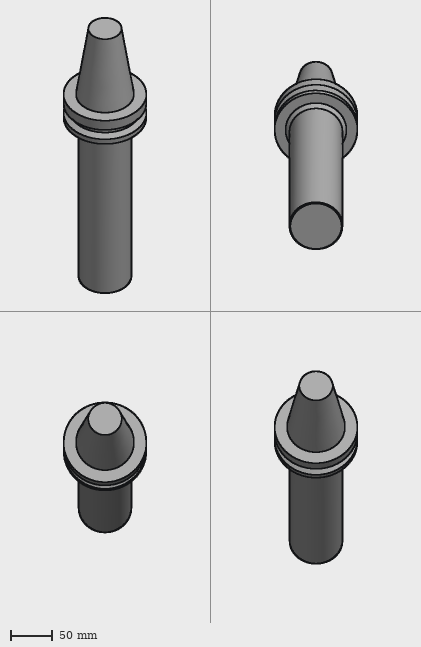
import cadquery as cq
import math

total_length = 390.8
flange_diameter = 100.0
gauge_diameter = 70.0
groove_diameter = 85.0
body_diameter = 64.0
neck_diameter = 73.5

taper_length = 102.0
taper_ratio = 7 / 24
gauge_band_height = 1.0
upper_rim_height = 14.5
groove_floor_height = 6.3
groove_wall_angle = 30
lower_rim_height = 7.5
neck_height = 5.0
end_chamfer = 1.0

top_radius = (gauge_diameter - taper_length * taper_ratio) / 2
gauge_radius = gauge_diameter / 2
flange_radius = flange_diameter / 2
groove_radius = groove_diameter / 2
neck_radius = neck_diameter / 2
body_radius = body_diameter / 2

gauge_z = total_length - taper_length
flange_top_z = gauge_z - gauge_band_height
groove_wall_height = (flange_radius - groove_radius) * math.tan(math.radians(groove_wall_angle))
groove_top_z = flange_top_z - upper_rim_height
floor_top_z = groove_top_z - groove_wall_height
floor_bottom_z = floor_top_z - groove_floor_height
groove_bottom_z = floor_bottom_z - groove_wall_height
flange_bottom_z = groove_bottom_z - lower_rim_height
body_top_z = flange_bottom_z - neck_height

half_section = [
    (0, total_length),
    (top_radius, total_length),
    (gauge_radius, gauge_z),
    (gauge_radius, flange_top_z),
    (flange_radius, flange_top_z),
    (flange_radius, groove_top_z),
    (groove_radius, floor_top_z),
    (groove_radius, floor_bottom_z),
    (flange_radius, groove_bottom_z),
    (flange_radius, flange_bottom_z),
    (neck_radius, flange_bottom_z),
    (body_radius, body_top_z),
    (body_radius, end_chamfer),
    (body_radius - end_chamfer, 0),
    (0, 0),
]

result = cq.Workplane("XZ").polyline(half_section).close().revolve(360, (0, 0, 0), (0, 1, 0))